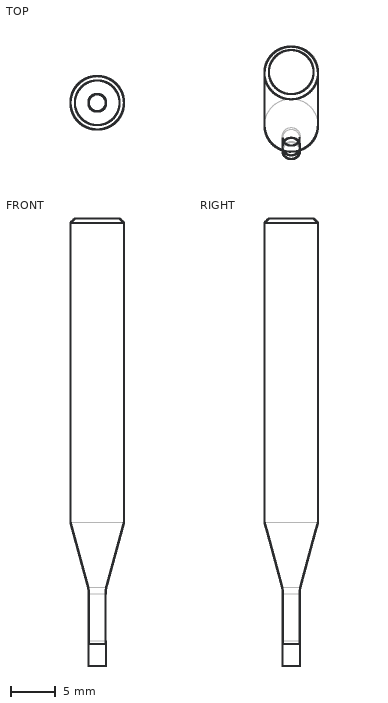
import cadquery as cq

total_length = 50.0
shank_radius = 6.0 / 2
shank_bottom = 16.05
top_chamfer = 0.5

neck_radius = 1.9 / 2
taper_end_radius = 2.05 / 2
taper_end = 8.8
neck_top = 8.05
neck_bottom = 2.8

head_radius = 2.0 / 2
head_length = 2.5
corner_radius = 0.1


def make_shank():
    """Revolve the chamfered shank, its taper, the relieved neck and the flare onto the head."""
    profile = (
        cq.Workplane("XZ")
        .moveTo(0, head_length)
        .lineTo(head_radius, head_length)
        .lineTo(neck_radius, neck_bottom)
        .lineTo(neck_radius, neck_top)
        .tangentArcPoint((taper_end_radius, taper_end), relative=False)
        .lineTo(shank_radius, shank_bottom)
        .lineTo(shank_radius, total_length - top_chamfer)
        .lineTo(shank_radius - top_chamfer, total_length)
        .lineTo(0, total_length)
        .close()
    )
    return profile.revolve(360, (0, 0, 0), (0, 1, 0))


def make_cutting_head():
    """Make the cylindrical head with a rounded lower edge that meets the lower end of the neck."""
    blank = cq.Workplane("XY").circle(head_radius).extrude(head_length)
    return blank.faces("<Z").edges().fillet(corner_radius)


shank = make_shank()
cutting_head = make_cutting_head()

result = cq.Compound.makeCompound([shank.val(), cutting_head.val()])